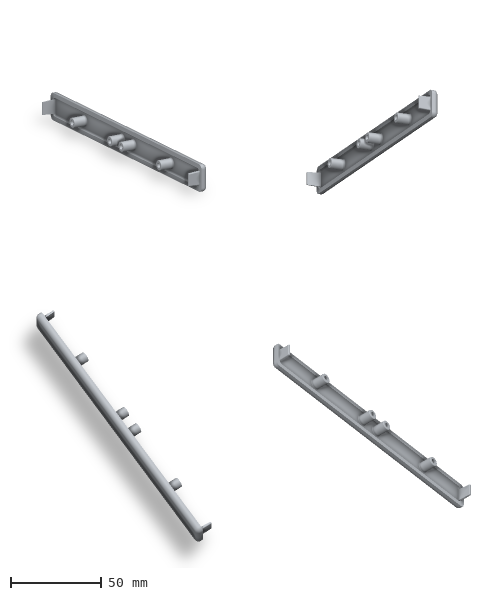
import cadquery as cq

LENGTH = 160.0
HEIGHT = 16.0
PLATE_THICKNESS = 4.0
CORNER_RADIUS = 2.5
BACK_EDGE_RADIUS = 2.4

RIM_WIDTH = 2.5
RECESS_DEPTH = 1.1
RECESS_CORNER_RADIUS = 2.0
RECESS_FLOOR_RADIUS = 1.0

STANDOFF = 7.0
RISE = STANDOFF + RECESS_DEPTH
FLOOR_TOLERANCE = 0.02

INNER_BOSS_SPACING = 12.0
INNER_BOSS_X = INNER_BOSS_SPACING / 2
BOSS_PITCH = 40.0
BOSS_DIAMETER = 6.0
BOSS_DRAFT = 0.5
BOSS_TIP_RADIUS = 0.3
BOSS_FOOT_RADIUS = 0.5
BOSS_HOLE_DIAMETER = 2.9

TAB_OUTER_X = 78.0
TAB_FOOT_THICKNESS = 1.6
TAB_TIP_THICKNESS = 1.1
TAB_FOOT_WIDTH = 8.2
TAB_TIP_WIDTH = 7.4
TAB_OUTER_EDGE_RADIUS = 0.5
TAB_INNER_TIP_RADIUS = 0.3


def make_plate():
    """Round-cornered plate with a rounded back edge."""
    plate = cq.Workplane("XZ").rect(LENGTH, HEIGHT).extrude(-PLATE_THICKNESS)
    plate = plate.edges("|Y").fillet(CORNER_RADIUS)
    return plate.faces(">Y").edges().fillet(BACK_EDGE_RADIUS)


def make_recess():
    """Shallow pocket inside the rim, rounded where the walls meet the floor."""
    recess = (
        cq.Workplane("XZ")
        .rect(LENGTH - 2 * RIM_WIDTH, HEIGHT - 2 * RIM_WIDTH)
        .extrude(-RECESS_DEPTH)
    )
    recess = recess.edges("|Y").fillet(RECESS_CORNER_RADIUS)
    return recess.faces(">Y").edges().fillet(RECESS_FLOOR_RADIUS)


def floor_plane(x):
    """Workplane on the recess floor at x, facing out of the recess."""
    return cq.Workplane("XZ", origin=(x, RECESS_DEPTH, 0))


def make_boss(x):
    """Slightly tapered round post with a rounded tip."""
    boss = floor_plane(x).circle(BOSS_DIAMETER / 2).extrude(RISE, taper=BOSS_DRAFT)
    return boss.faces("<Y").edges().fillet(BOSS_TIP_RADIUS)


def make_boss_hole(x):
    """Blind bore from the boss tip down to the recess floor."""
    return floor_plane(x).circle(BOSS_HOLE_DIAMETER / 2).extrude(RISE)


def make_tab():
    """Tapered tab at the +X end, rounded around its outer face and along its tip."""
    foot_center = TAB_OUTER_X - TAB_FOOT_THICKNESS / 2
    tip_center = TAB_OUTER_X - TAB_TIP_THICKNESS / 2
    tab = (
        floor_plane(foot_center)
        .rect(TAB_FOOT_THICKNESS, TAB_FOOT_WIDTH)
        .workplane(offset=RISE)
        .center(tip_center - foot_center, 0)
        .rect(TAB_TIP_THICKNESS, TAB_TIP_WIDTH)
        .loft(ruled=True)
    )
    tab = tab.faces(">X").edges("not >Y").fillet(TAB_OUTER_EDGE_RADIUS)
    return tab.faces("<Y").edges("<X").fillet(TAB_INNER_TIP_RADIUS)


boss_positions = [
    side * distance
    for distance in (INNER_BOSS_X, INNER_BOSS_X + BOSS_PITCH)
    for side in (-1, 1)
]

result = make_plate().cut(make_recess())

for boss_x in boss_positions:
    result = result.union(make_boss(boss_x))

for boss_x in boss_positions:
    foot_edge = cq.selectors.BoxSelector(
        (boss_x - BOSS_DIAMETER, RECESS_DEPTH - FLOOR_TOLERANCE, -BOSS_DIAMETER),
        (boss_x + BOSS_DIAMETER, RECESS_DEPTH + FLOOR_TOLERANCE, BOSS_DIAMETER),
    )
    result = result.edges(foot_edge).edges("%CIRCLE").fillet(BOSS_FOOT_RADIUS)

for boss_x in boss_positions:
    result = result.cut(make_boss_hole(boss_x))

tab = make_tab()
result = result.union(tab).union(tab.mirror("YZ"))